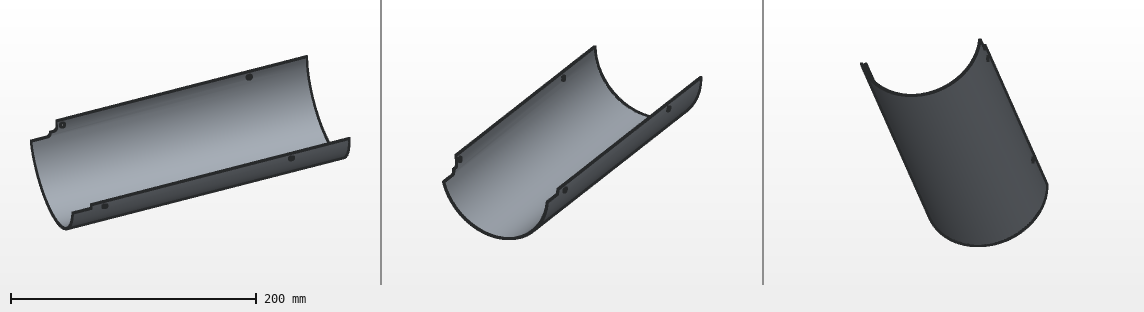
import cadquery as cq

length = 240.0
outer_diameter = 102.0
wall = 1.0

hole_diameter = 4.0
hole_drop = 6.0
back_hole_setback = 50.2
front_hole_setback = 27.8

upper_step_setback = 22.8
upper_step_drop = 10.0
lower_step_setback = 17.0
lower_step_drop = 13.7
step_fillet = 3.4

plain_notch_setback = 16.0
plain_notch_drop = 4.3

outer_radius = outer_diameter / 2
front_y = -length / 2
back_y = length / 2
cut_margin = 2.5
cut_reach = outer_radius + cut_margin


def half_cylinder(radius):
    """Lower half of a solid cylinder running along Y."""
    return (
        cq.Workplane("XZ", origin=(0, back_y, 0))
        .moveTo(-radius, 0)
        .threePointArc((0, -radius), (radius, 0))
        .close()
        .extrude(length)
    )


def side_hole(y):
    """Cylinder across the full width that pierces both side walls."""
    return (
        cq.Workplane("YZ", origin=(-cut_reach, 0, 0))
        .center(y, -hole_drop)
        .circle(hole_diameter / 2)
        .extrude(2 * cut_reach)
    )


def stepped_notch():
    """Two-step cutter for the -X wall, with rounded inner corners."""
    upper_y = front_y + upper_step_setback
    lower_y = front_y + lower_step_setback
    outline = [
        (upper_y, cut_margin),
        (upper_y, -upper_step_drop),
        (lower_y, -upper_step_drop),
        (lower_y, -lower_step_drop),
        (front_y - cut_margin, -lower_step_drop),
        (front_y - cut_margin, cut_margin),
    ]
    cutter = cq.Workplane("YZ").polyline(outline).close().extrude(-cut_reach)
    for y, drop in ((upper_y, upper_step_drop), (lower_y, lower_step_drop)):
        corner = cq.selectors.NearestToPointSelector((-cut_reach / 2, y, -drop))
        cutter = cutter.edges("|X").edges(corner).fillet(step_fillet)
    return cutter


def plain_notch():
    """Rectangular cutter for the +X wall."""
    return cq.Workplane("XY").box(
        cut_reach,
        plain_notch_setback + cut_margin,
        plain_notch_drop + cut_margin,
        centered=False,
    ).translate((0, front_y - cut_margin, -plain_notch_drop))


shell = half_cylinder(outer_radius).cut(half_cylinder(outer_radius - wall))

for hole_y in (back_y - back_hole_setback, front_y + front_hole_setback):
    shell = shell.cut(side_hole(hole_y))

result = shell.cut(stepped_notch()).cut(plain_notch())